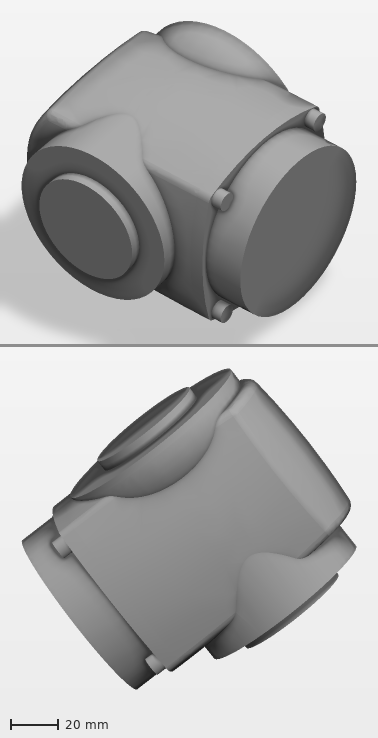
import cadquery as cq
import math

END_X = -50.27
BODY_END_X = 47.0
FLANGE_END_X = 53.5
SPIGOT_END_X = 72.0

TOP_HALF_WIDTH = 42.95
TOP_TAPER_RADIUS = 450.0
TOP_FLANGE_CROWN = 92.0
TOP_START_CROWN = 220.0
SIDE_HALF_WIDTH = 42.5
SIDE_TAPER_RADIUS = 600.0
SIDE_FLANGE_CROWN = 125.0
SIDE_START_CROWN = 330.0
LOFT_START_X = END_X - 5.0
LOFT_INTERVALS = 4
CORNER_ITERATIONS = 30
END_PROFILE_RADIUS = 51.0
END_CROWN_RADIUS = 320.0
BODY_FILLET = 4.3
FLAT_TOLERANCE = 0.1

SPIGOT_DIAMETER = 80.0
PIN_DIAMETER = 8.5
PIN_OFFSET = 32.0
PIN_LENGTH = 5.0

COVER_DIAMETER = 50.0
COVER_HEIGHT = 5.0
FRONT_PORT_DIAMETER = 77.0
FRONT_PORT_Y = -49.5
REAR_PORT_DIAMETER = 87.1
REAR_PORT_Y = 43.0
REAR_RIM_WIDTH = 3.2
REAR_DOME_RADIUS = 21.5

END_BARREL_OVERRUN = 20.0


def arc_drop(radius, distance):
    """Fall of a circular arc at a distance from its crest."""
    return radius - math.sqrt(radius**2 - distance**2)


def side_at(x, half_width, taper_radius, flange_crown, start_crown):
    """Half width and crown radius of one pair of sides; the crown flattens ever faster towards -X."""
    distance = max(BODY_END_X - x, 0)
    share = (distance / (BODY_END_X - LOFT_START_X)) ** 2
    curvature = (1 - share) / flange_crown + share / start_crown
    return half_width - arc_drop(taper_radius, distance), 1 / curvature


def section(x):
    """Closed outline of four crowned sides in the plane at x."""
    top, top_crown = side_at(x, TOP_HALF_WIDTH, TOP_TAPER_RADIUS, TOP_FLANGE_CROWN, TOP_START_CROWN)
    side, side_crown = side_at(x, SIDE_HALF_WIDTH, SIDE_TAPER_RADIUS, SIDE_FLANGE_CROWN, SIDE_START_CROWN)
    corner_y = side
    corner_z = top
    for _ in range(CORNER_ITERATIONS):
        corner_y = side - arc_drop(side_crown, corner_z)
        corner_z = top - arc_drop(top_crown, corner_y)
    return (
        cq.Workplane("YZ", origin=(x, 0, 0))
        .moveTo(-corner_y, -corner_z)
        .threePointArc((0, -top), (corner_y, -corner_z))
        .threePointArc((side, 0), (corner_y, corner_z))
        .threePointArc((0, top), (-corner_y, corner_z))
        .threePointArc((-side, 0), (-corner_y, -corner_z))
        .close()
    )


def end_barrel():
    """Barrel about a line parallel to Y that rounds off the -X end, with a block behind it."""
    axis_x = END_X + END_PROFILE_RADIUS
    half_length = TOP_HALF_WIDTH + END_BARREL_OVERRUN
    edge_x = END_X + arc_drop(END_CROWN_RADIUS, half_length)
    round_end = (
        cq.Workplane("XY")
        .moveTo(axis_x, -half_length)
        .lineTo(edge_x, -half_length)
        .threePointArc((END_X, 0), (edge_x, half_length))
        .lineTo(axis_x, half_length)
        .close()
        .revolve(360, (axis_x, 0, 0), (axis_x, 1, 0))
    )
    remainder = (
        cq.Workplane("YZ", origin=(axis_x, 0, 0))
        .rect(2 * half_length, 2 * half_length)
        .extrude(FLANGE_END_X - axis_x)
    )
    return round_end.union(remainder)


def body():
    """Tapering loft and straight flange, cut to the rounded end, with rounded edges."""
    step = (BODY_END_X - LOFT_START_X) / LOFT_INTERVALS
    wires = [section(LOFT_START_X + step * i).wire().val() for i in range(LOFT_INTERVALS + 1)]
    loft = cq.Workplane(cq.Solid.makeLoft(wires))
    flange = section(BODY_END_X).extrude(FLANGE_END_X - BODY_END_X)
    shape = loft.intersect(end_barrel()).union(flange)
    rounded = shape.edges().filter(lambda edge: edge.BoundingBox().xlen > FLAT_TOLERANCE)
    return rounded.fillet(BODY_FILLET)


def spigot():
    """Round spigot on the flange face."""
    return (
        cq.Workplane("YZ", origin=(FLANGE_END_X, 0, 0))
        .circle(SPIGOT_DIAMETER / 2)
        .extrude(SPIGOT_END_X - FLANGE_END_X)
    )


def pins():
    """Four short pins at the corners of the flange face."""
    return (
        cq.Workplane("YZ", origin=(FLANGE_END_X, 0, 0))
        .rect(2 * PIN_OFFSET, 2 * PIN_OFFSET, forConstruction=True)
        .vertices()
        .circle(PIN_DIAMETER / 2)
        .extrude(PIN_LENGTH)
    )


def front_port():
    """Plain cylinder from the body axis to -Y with a raised round cover."""
    radius = FRONT_PORT_DIAMETER / 2
    cover_radius = COVER_DIAMETER / 2
    cover_y = FRONT_PORT_Y - COVER_HEIGHT
    return (
        cq.Workplane("XY")
        .lineTo(radius, 0)
        .lineTo(radius, FRONT_PORT_Y)
        .lineTo(cover_radius, FRONT_PORT_Y)
        .lineTo(cover_radius, cover_y)
        .lineTo(0, cover_y)
        .close()
        .revolve(360, (0, 0, 0), (0, 1, 0))
    )


def rear_port():
    """Rim with a raised round cover, running into the body through a rounded shoulder."""
    radius = REAR_PORT_DIAMETER / 2
    cover_radius = COVER_DIAMETER / 2
    cover_y = REAR_PORT_Y + COVER_HEIGHT
    rim_y = REAR_PORT_Y - REAR_RIM_WIDTH
    diagonal = REAR_DOME_RADIUS * math.sqrt(0.5)
    dome_end_y = rim_y - REAR_DOME_RADIUS
    center_r = radius - REAR_DOME_RADIUS
    return (
        cq.Workplane("XY")
        .moveTo(0, cover_y)
        .lineTo(cover_radius, cover_y)
        .lineTo(cover_radius, REAR_PORT_Y)
        .lineTo(radius, REAR_PORT_Y)
        .lineTo(radius, rim_y)
        .threePointArc((center_r + diagonal, rim_y - diagonal), (center_r, dome_end_y))
        .lineTo(0, dome_end_y)
        .close()
        .revolve(360, (0, 0, 0), (0, 1, 0))
    )


result = body().union(spigot()).union(pins()).union(front_port()).union(rear_port())